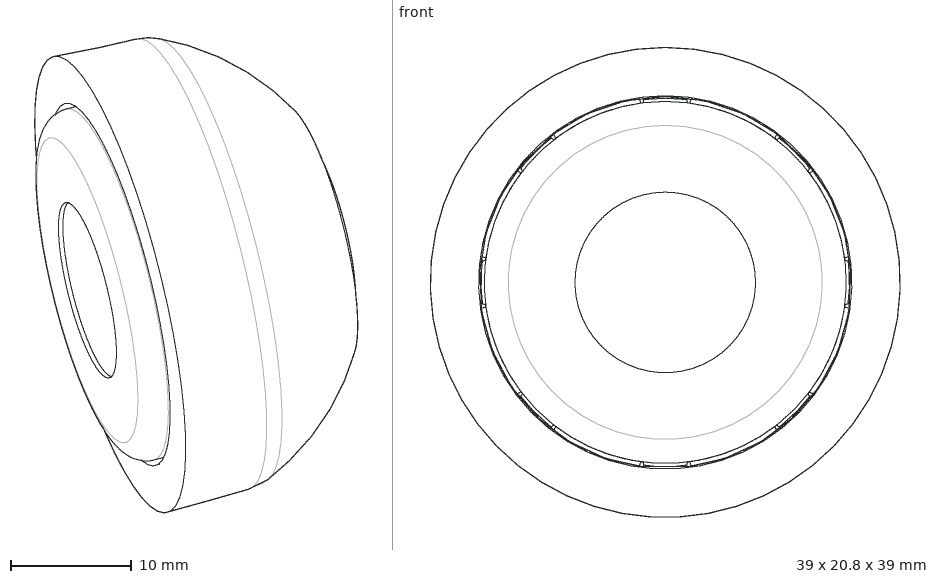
import cadquery as cq
import math


MOUTH_RADIUS = 19.5
WALL_DRAFT = 1.9
DOME_RADIUS = 20.6
DOME_CENTER = 0.55
DOME_TOP = 17.98
SHOULDER_FILLET = 4.0

CAVITY_MOUTH_RADIUS = 15.5
CAVITY_DEPTH = 9.75
CAVITY_DRAFT = 1.2

BEAD_COUNT = 8
BEAD_START = 4.3
BEAD_SLOPE = 40.0
BEAD_TIP_WIDTH = 0.78
BEAD_ROOT_RADIUS = 16.0
GAP_WIDTH_FRONT = 4.65
GAP_WIDTH_BACK = 3.12

PAD_RADIUS = 15.0
PAD_PROJECTION = 2.0
DIMPLE_RADIUS = 7.5
DIMPLE_DEPTH = 0.4

PLUG_RADIUS = 9.13
PLUG_END_RADIUS = 8.05
PLUG_PROJECTION = 0.8

WALL_DRAFT_RATE = math.tan(math.radians(WALL_DRAFT))
CAVITY_DRAFT_RATE = math.tan(math.radians(CAVITY_DRAFT))


def turned(profile):
    """Turn a closed (radius, Y) outline about the Y axis."""
    return profile.close().revolve(360, (0, 0, 0), (0, 1, 0))


def on_dome(angle):
    """The (radius, Y) point of the dome at an angle above its equator."""
    return DOME_RADIUS * math.cos(angle), DOME_CENTER + DOME_RADIUS * math.sin(angle)


def make_dome():
    draft_angle = math.radians(WALL_DRAFT)
    equator_radius = MOUTH_RADIUS - DOME_CENTER * WALL_DRAFT_RATE
    base_angle = math.acos(equator_radius * math.cos(draft_angle) / DOME_RADIUS) + draft_angle
    top_angle = math.asin((DOME_TOP - DOME_CENTER) / DOME_RADIUS)
    base_radius, base_height = on_dome(base_angle)
    outline = (
        cq.Workplane("ZY")
        .lineTo(MOUTH_RADIUS, 0)
        .lineTo(base_radius, base_height)
        .threePointArc(on_dome((base_angle + top_angle) / 2), on_dome(top_angle))
        .lineTo(0, DOME_TOP)
    )
    shoulder_center = (0, base_height, 0)
    return turned(outline).edges(cq.selectors.NearestToPointSelector(shoulder_center)).fillet(SHOULDER_FILLET)


def make_cavity():
    floor_radius = CAVITY_MOUTH_RADIUS - CAVITY_DEPTH * CAVITY_DRAFT_RATE
    return turned(
        cq.Workplane("ZY")
        .lineTo(CAVITY_MOUTH_RADIUS, 0)
        .lineTo(floor_radius, CAVITY_DEPTH)
        .lineTo(0, CAVITY_DEPTH)
    )


def make_beads():
    root_height = BEAD_ROOT_RADIUS - PAD_RADIUS
    wall_height = CAVITY_MOUTH_RADIUS - BEAD_START * CAVITY_DRAFT_RATE - PAD_RADIUS
    flank = math.tan(math.radians(BEAD_SLOPE))
    tip_front = BEAD_START + wall_height / flank
    tip_back = tip_front + BEAD_TIP_WIDTH
    root_front = tip_front - root_height / flank
    root_back = tip_back + root_height / flank
    beads = turned(
        cq.Workplane("ZY")
        .moveTo(BEAD_ROOT_RADIUS, root_front)
        .lineTo(PAD_RADIUS, tip_front)
        .lineTo(PAD_RADIUS, tip_back)
        .lineTo(BEAD_ROOT_RADIUS, root_back)
    )
    gap = (
        cq.Workplane("XY")
        .moveTo(-GAP_WIDTH_FRONT / 2, root_front)
        .lineTo(GAP_WIDTH_FRONT / 2, root_front)
        .lineTo(GAP_WIDTH_BACK / 2, root_back)
        .lineTo(-GAP_WIDTH_BACK / 2, root_back)
        .close()
        .extrude(2 * BEAD_ROOT_RADIUS)
    )
    for index in range(BEAD_COUNT):
        beads = beads.cut(gap.rotate((0, 0, 0), (0, 1, 0), index * 360 / BEAD_COUNT))
    return beads


def make_plug():
    return turned(
        cq.Workplane("ZY")
        .moveTo(0, CAVITY_DEPTH)
        .lineTo(PLUG_RADIUS, CAVITY_DEPTH)
        .lineTo(PLUG_RADIUS, DOME_TOP)
        .lineTo(PLUG_END_RADIUS, DOME_TOP + PLUG_PROJECTION)
        .lineTo(0, DOME_TOP + PLUG_PROJECTION)
    )


def make_pad():
    rim_flat = PAD_RADIUS - PAD_PROJECTION
    rim_middle = PAD_PROJECTION * math.sqrt(0.5)
    return turned(
        cq.Workplane("ZY")
        .moveTo(0, CAVITY_DEPTH)
        .lineTo(PAD_RADIUS, CAVITY_DEPTH)
        .lineTo(PAD_RADIUS, 0)
        .threePointArc((rim_flat + rim_middle, -rim_middle), (rim_flat, -PAD_PROJECTION))
        .lineTo(DIMPLE_RADIUS, -PAD_PROJECTION)
        .lineTo(DIMPLE_RADIUS, DIMPLE_DEPTH - PAD_PROJECTION)
        .lineTo(0, DIMPLE_DEPTH - PAD_PROJECTION)
    )


plug = make_plug()
pad = make_pad()
housing = make_dome().cut(make_cavity()).union(make_beads()).cut(plug)

result = cq.Compound.makeCompound([housing.solids().val(), pad.val(), plug.val()])